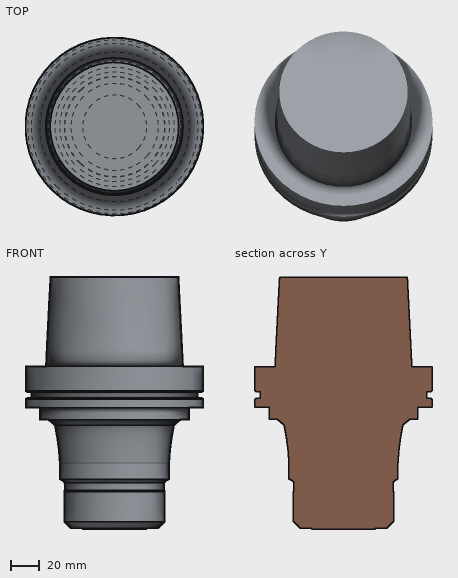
import cadquery as cq

total_height = 177.3
flange_top = 114.4
groove_upper_edge = 97.3
groove_lower_edge = 91.3
flange_bottom = 85.5
collar_bottom = 77.0
flare_bottom = 73.0
ring_top = 46.6
ring_bottom = 35.3
neck_top = 32.6
neck_bottom = 27.5
spigot_chamfer_top = 5.5
pad_height = 0.7

top_radius = 45.0
skirt_radius = 48.2
flange_radius = 125.0 / 2
groove_radius = 117.0 / 2
collar_radius = 105.0 / 2
flare_upper_radius = 46.5
flare_lower_radius = 41.8
ring_radius = 77.0 / 2
neck_radius = 70.0 / 2
spigot_radius = 70.7 / 2
pad_radius = 44.9 / 2

groove_chamfer_height = 1.0
groove_chamfer_width = 1.5
ring_chamfer_width = 1.0
ring_chamfer_height = 0.5
neck_chamfer_height = 1.0
spigot_chamfer = spigot_chamfer_top - pad_height
flare_sag = 0.2
body_sag = 0.5
fillet_sag = 0.5


def concave_arc(profile, start, end, sag):
    """Add an arc whose middle is pulled toward the axis by the sag."""
    middle = ((start[0] + end[0]) / 2 - sag, (start[1] + end[1]) / 2)
    return profile.threePointArc(middle, end)


profile = (
    cq.Workplane("XZ")
    .moveTo(0, 0)
    .lineTo(pad_radius, 0)
    .lineTo(pad_radius, pad_height)
)

profile = (
    profile.lineTo(spigot_radius - spigot_chamfer, pad_height)
    .lineTo(spigot_radius, spigot_chamfer_top)
    .lineTo(spigot_radius, neck_bottom - neck_chamfer_height)
    .lineTo(neck_radius, neck_bottom)
    .lineTo(neck_radius, neck_top)
)

ring_edge = (ring_radius - ring_chamfer_width, ring_bottom - ring_chamfer_height)
profile = concave_arc(profile, (neck_radius, neck_top), ring_edge, fillet_sag)
profile = profile.lineTo(ring_radius, ring_bottom).lineTo(ring_radius, ring_top)

body_end = (flare_lower_radius, flare_bottom)
flare_end = (flare_upper_radius, collar_bottom)
profile = concave_arc(profile, (ring_radius, ring_top), body_end, body_sag)
profile = concave_arc(profile, body_end, flare_end, flare_sag)
profile = profile.lineTo(collar_radius, collar_bottom).lineTo(collar_radius, flange_bottom)

groove_mouth_radius = flange_radius - groove_chamfer_width
groove_floor_bottom = groove_lower_edge + groove_chamfer_height
groove_floor_top = groove_upper_edge - groove_chamfer_height
profile = (
    profile.lineTo(flange_radius, flange_bottom)
    .lineTo(flange_radius, groove_lower_edge)
    .lineTo(groove_mouth_radius, groove_floor_bottom)
    .lineTo(groove_radius, groove_floor_bottom)
    .lineTo(groove_radius, groove_floor_top)
    .lineTo(groove_mouth_radius, groove_floor_top)
    .lineTo(flange_radius, groove_upper_edge)
    .lineTo(flange_radius, flange_top)
)

profile = (
    profile.lineTo(skirt_radius, flange_top)
    .lineTo(top_radius, total_height)
    .lineTo(0, total_height)
    .close()
)

result = profile.revolve(360, (0, 0, 0), (0, 1, 0))